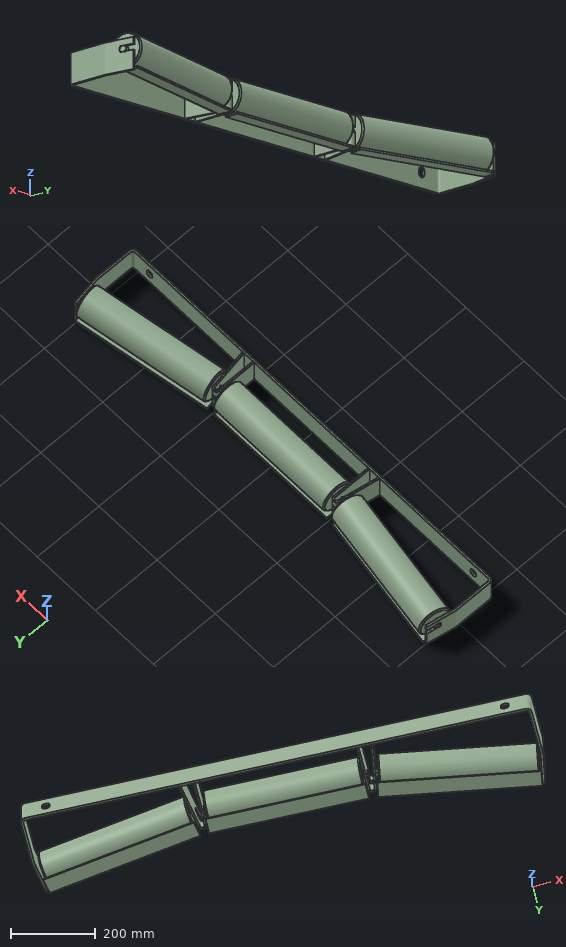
import cadquery as cq
import math

frame_length = 1240.0
plate_height = 79.0
plate_thickness = 6.0
bend_radius = 12.0
wing_bend_y = 122.0
wing_tip_length = 82.0
wing_axis_offset = 50.0
mount_hole_spacing = 1114.0
mount_hole_width = 19.0
mount_hole_height = 25.0

roller_radius = 45.0
roller_length = 381.0
roller_end_chamfer = 4.0
shaft_radius = 9.3
shaft_flats = 15.0
support_gap = 392.0

centre_axis_y = 100.0
centre_axis_z = 45.0
side_lift = 5.6
swing = 10.0
rise = 1.5

bracket_thickness = 5.0
bracket_crotch_radius = 2.0
bracket_back_y = 128.0
strip_length = 388.0
strip_width = 38.0
strip_thickness = 5.0
strip_bottom_drop = 52.0

half_length = frame_length / 2
half_gap = support_gap / 2
swing_sin = math.sin(math.radians(swing))
swing_cos = math.cos(math.radians(swing))
wing_inner_x = half_length - plate_thickness
side_x = wing_inner_x - wing_axis_offset * swing_sin - half_gap * swing_cos
side_y = wing_bend_y + wing_axis_offset * swing_cos - half_gap * swing_sin
side_axis_z = centre_axis_z + side_lift
sides = (-1, 1)
stations = (-1, 0, 1)


def place(body, station):
    """Move a body modelled around a roller axis along X to its roller station."""
    if station == 0:
        return body.translate((0, centre_axis_y, centre_axis_z))
    sloped = body.rotate((0, 0, 0), (0, 1, 0), -station * rise)
    swung = sloped.rotate((0, 0, 0), (0, 0, 1), station * swing)
    return swung.translate((station * side_x, side_y, side_axis_z))


def round_bar(radius, length):
    """Cylinder centred on the origin, lying along X."""
    return cq.Workplane("YZ", origin=(-length / 2, 0, 0)).circle(radius).extrude(length)


def shaft_slot(station):
    """Slot for the flatted shaft ends of one roller, open toward +Y."""
    length = 2 * (half_gap + 2 * plate_thickness)
    round_end = round_bar(shaft_radius, length)
    run = 2 * roller_radius
    straight = cq.Workplane("XY").box(length, run, shaft_flats).translate((0, run / 2, 0))
    band = cq.Workplane("XY").box(length, 2 * run, shaft_flats)
    return place(round_end.intersect(band).union(straight), station)


def round_edge(plate, x, y, radius):
    """Round the upright edge of a plate that stands at (x, y)."""
    edge = cq.selectors.NearestToPointSelector((x, y, plate_height / 2))
    return plate.edges("|Z").edges(edge).fillet(radius)


def make_frame():
    """Long plate bent into a U, its wings turned inward to stand square to the side rollers."""
    tip_x = half_length - wing_tip_length * swing_sin
    tip_y = wing_bend_y + wing_tip_length * swing_cos
    inner_tip_x = tip_x - plate_thickness * swing_cos
    inner_tip_y = tip_y - plate_thickness * swing_sin
    inner_bend_y = wing_bend_y - plate_thickness * math.tan(math.radians(swing / 2))
    outline = [
        (-tip_x, tip_y),
        (-half_length, wing_bend_y),
        (-half_length, 0),
        (half_length, 0),
        (half_length, wing_bend_y),
        (tip_x, tip_y),
        (inner_tip_x, inner_tip_y),
        (wing_inner_x, inner_bend_y),
        (wing_inner_x, plate_thickness),
        (-wing_inner_x, plate_thickness),
        (-wing_inner_x, inner_bend_y),
        (-inner_tip_x, inner_tip_y),
    ]
    frame = cq.Workplane("XY").polyline(outline).close().extrude(plate_height)
    for side in sides:
        outer_bends = [(half_length, 0), (half_length, wing_bend_y)]
        inner_bends = [(wing_inner_x, plate_thickness), (wing_inner_x, inner_bend_y)]
        for x, y in outer_bends:
            frame = round_edge(frame, side * x, y, bend_radius)
        for x, y in inner_bends:
            frame = round_edge(frame, side * x, y, bend_radius - plate_thickness)
        frame = frame.cut(shaft_slot(side))
    holes = (
        cq.Workplane("XZ", origin=(0, 0, plate_height / 2))
        .pushPoints([(side * mount_hole_spacing / 2, 0) for side in sides])
        .slot2D(mount_hole_height, mount_hole_width, 90)
        .extrude(-plate_thickness)
    )
    return frame.cut(holes)


def make_bracket(side):
    """Bent support with one leg beside the centre roller and one beside a side roller."""
    axis_x = side_x - half_gap * swing_cos
    axis_y = side_y - half_gap * swing_sin

    def side_leg_x(y, depth):
        return axis_x - depth / swing_cos - (y - axis_y) * swing_sin / swing_cos

    front = plate_thickness
    crotch_y = bracket_back_y - bracket_thickness
    outline = [
        (half_gap, front),
        (half_gap, bracket_back_y),
        (side_leg_x(bracket_back_y, 0), bracket_back_y),
        (side_leg_x(front, 0), front),
        (side_leg_x(front, bracket_thickness), front),
        (side_leg_x(crotch_y, bracket_thickness), crotch_y),
        (half_gap + bracket_thickness, crotch_y),
        (half_gap + bracket_thickness, front),
    ]
    points = [(side * x, y) for x, y in outline]
    bracket = cq.Workplane("XY").polyline(points).close().extrude(plate_height)
    back_corners = [points[1], points[2]]
    crotch_corners = [points[5], points[6]]
    for x, y in back_corners:
        bracket = round_edge(bracket, x, y, bracket_crotch_radius + bracket_thickness)
    for x, y in crotch_corners:
        bracket = round_edge(bracket, x, y, bracket_crotch_radius)
    return bracket.cut(shaft_slot(0)).cut(shaft_slot(side))


def make_roller(station):
    """Chamfered roller with shaft ends flatted to sit in the slots."""
    body = round_bar(roller_radius, roller_length)
    body = body.faces("<X or >X").chamfer(roller_end_chamfer)
    shaft = round_bar(shaft_radius, support_gap + 2 * bracket_thickness)
    flats = cq.Workplane("XY").box(2 * support_gap, 2 * roller_radius, shaft_flats)
    return place(body.union(shaft.intersect(flats)), station)


def make_strip(station):
    """Flat strip under the rear half of a roller, running between its support plates."""
    strip = cq.Workplane("XY").box(
        strip_length, strip_width, strip_thickness, centered=(True, False, False)
    )
    return place(strip.translate((0, 0, -strip_bottom_drop)), station)


frame = make_frame()
brackets = [make_bracket(side) for side in sides]
rollers = [make_roller(station) for station in stations]
strips = [make_strip(station) for station in stations]

result = cq.Compound.makeCompound(
    [body.val() for body in [frame, *brackets, *rollers, *strips]]
)